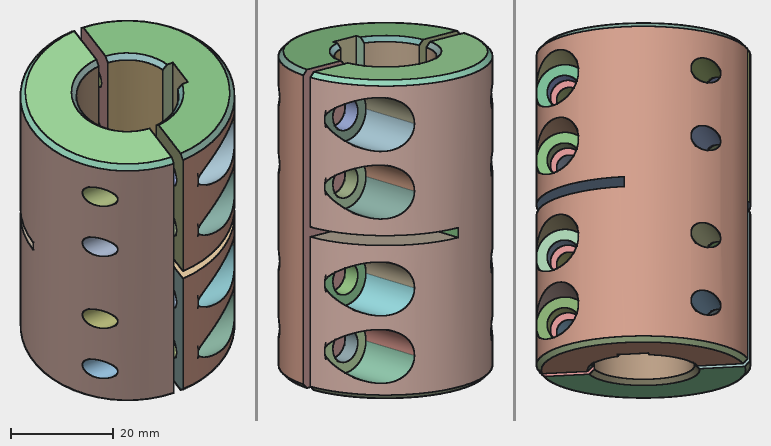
import cadquery as cq

length = 65.0
outer_diameter = 42.0
bore_diameter = 20.0
chamfer = 1.0
split_gap = 2.0

key_width = 6.2
key_top = 11.75

slit_width = 2.0

screw_offset = 15.0
inner_screw_height = 9.9
outer_screw_height = 23.65
tapped_diameter = 4.95
clearance_diameter = 6.6
head_diameter = 11.0
head_seat = 4.7

outer_radius = outer_diameter / 2
half_gap = split_gap / 2
screw_heights = [-outer_screw_height, -inner_screw_height, inner_screw_height, outer_screw_height]


def make_sleeve():
    """Bored cylinder centred on the origin, chamfered inside and out at both ends."""
    return (
        cq.Workplane("XY")
        .circle(outer_radius)
        .circle(bore_diameter / 2)
        .extrude(length / 2, both=True)
        .faces("<Z or >Z")
        .edges()
        .chamfer(chamfer)
    )


def screw_holes(x, diameter, start):
    """Column of cylinders along -Y at the given x, from y = -start out through the wall."""
    return (
        cq.Workplane("XZ", origin=(0, -start, 0))
        .pushPoints([(x, z) for z in screw_heights])
        .circle(diameter / 2)
        .extrude(outer_radius - start)
    )


def make_half():
    """Half sleeve on the -Y side: screw heads at -X, tapped holes at +X."""
    half_space = cq.Workplane("XY").box(outer_diameter, outer_radius - half_gap, length)
    half_space = half_space.translate((0, -(outer_radius + half_gap) / 2, 0))
    slit = cq.Workplane("XY").box(outer_radius, outer_radius, slit_width)
    slit = slit.translate((-outer_radius / 2, -outer_radius / 2, 0))
    return (
        make_sleeve()
        .intersect(half_space)
        .cut(screw_holes(-screw_offset, clearance_diameter, 0))
        .cut(screw_holes(-screw_offset, head_diameter, head_seat))
        .cut(screw_holes(screw_offset, tapped_diameter, 0))
        .cut(slit)
    )


def make_keyway():
    """Full-length bar that cuts the keyway on the +Y side of the bore."""
    return cq.Workplane("XY").box(key_width, key_top, length).translate((0, key_top / 2, 0))


front_half = make_half()

rear_half = make_half().rotate((0, 0, 0), (0, 0, 1), 180).cut(make_keyway())

result = cq.Compound.makeCompound([front_half.val(), rear_half.val()])